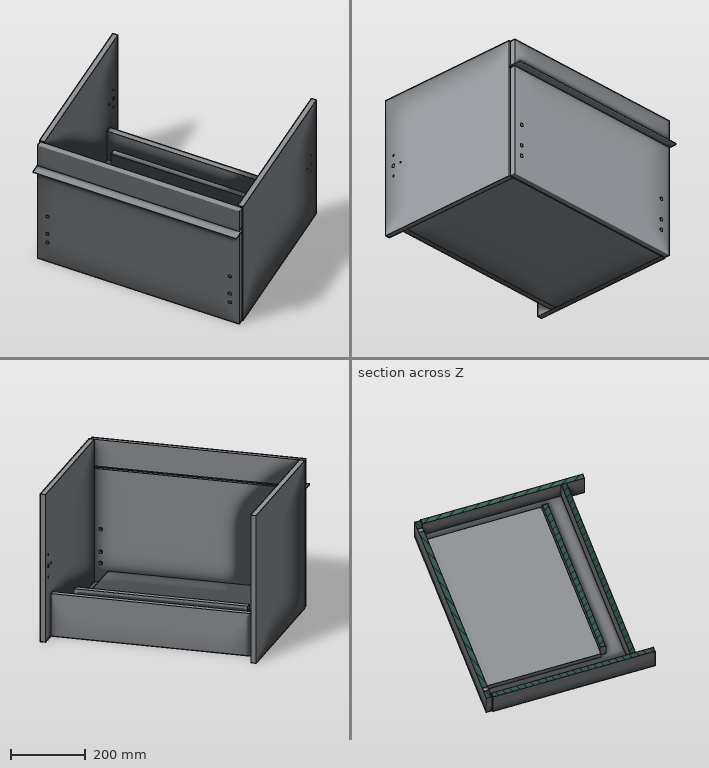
import cadquery as cq

CABINET_WIDTH = 603.0
CABINET_HEIGHT = 420.0
OVERALL_DEPTH = 499.5

SIDE_THICKNESS = 15.0
SIDE_DEPTH = 458.5
BOARD_THICKNESS = 16.0
REAR_RECESS = 50.5
REAR_PANEL_TOP = 121.0
INNER_WIDTH = CABINET_WIDTH - 2 * SIDE_THICKNESS

BRACKET_HOLE_DIAMETER = 10.0
SCREW_HOLE_DIAMETER = 5.0
BRACKET_HOLE_DEPTH = 12.0
BRACKET_FROM_REAR = 27.0
BRACKET_HEIGHT = 208.0
SCREW_SPACING = 32.0
SCREW_FORWARD_OFFSET = 26.0

FRONT_GAP = 2.5
FRONT_WIDTH = 598.0
FRONT_BOTTOM = 0.0
FRONT_TOP_DROP = 1.5
FRONT_TOP = CABINET_HEIGHT - FRONT_TOP_DROP
FRONT_EDGE_RADIUS = 1.0
FRONT_REAR = SIDE_DEPTH + FRONT_GAP
FRONT_FACE = FRONT_REAR + BOARD_THICKNESS
RAIL_BOTTOM = 336.0
RAIL_THICKNESS = 4.0
RAIL_TOP = RAIL_BOTTOM + RAIL_THICKNESS
RAIL_EDGE_RADIUS = 1.0
RAIL_CLEARANCE = 3.0

FIXING_HOLE_DIAMETER = 10.0
FIXING_HOLE_DEPTH = 14.0
FIXING_HOLE_X = 270.0
FIXING_HOLE_HEIGHTS = (68.5, 100.5, 164.5)

DRAWER_BACK_WIDTH = 484.0
DRAWER_BACK_REAR = 119.5
DRAWER_BACK_TOP = 115.5
DRAWER_UNDERSIDE = 32.0
DRAWER_BOTTOM_WIDTH = 498.0
DRAWER_BOTTOM_REAR = DRAWER_BACK_REAR + BOARD_THICKNESS


def board(x_min, x_max, rear, front, z_min, z_max):
    """A rectangular board; rear and front are distances forward of the rear edge."""
    size = (x_max - x_min, front - rear, z_max - z_min)
    return cq.Workplane("XY").box(*size, centered=False).translate((x_min, -front, z_min))


def centred_board(width, rear, front, z_min, z_max):
    """A board placed symmetrically about X = 0."""
    return board(-width / 2, width / 2, rear, front, z_min, z_max)


def drill(panel, diameter, depth, start, direction):
    """Cut a blind round hole from the point start along direction."""
    hole = cq.Solid.makeCylinder(diameter / 2, depth, start, direction)
    return panel.cut(cq.Workplane(hole))


def side_panel(side):
    """One side panel, side = -1 for left and +1 for right, with its bracket holes."""
    inner = side * INNER_WIDTH / 2
    outer = side * CABINET_WIDTH / 2
    panel = board(min(inner, outer), max(inner, outer), 0, SIDE_DEPTH, 0, CABINET_HEIGHT)
    holes = [
        (BRACKET_HOLE_DIAMETER, 0, 0),
        (SCREW_HOLE_DIAMETER, 0, SCREW_SPACING),
        (SCREW_HOLE_DIAMETER, 0, -SCREW_SPACING),
        (SCREW_HOLE_DIAMETER, SCREW_FORWARD_OFFSET, 0),
    ]
    for diameter, forward, up in holes:
        start = cq.Vector(inner, -BRACKET_FROM_REAR - forward, BRACKET_HEIGHT + up)
        panel = drill(panel, diameter, BRACKET_HOLE_DEPTH, start, cq.Vector(side, 0, 0))
    return panel


def front_panel(z_min, z_max):
    """A front board, rounded at its sides and along the top and bottom of its face."""
    panel = centred_board(FRONT_WIDTH, FRONT_REAR, FRONT_FACE, z_min, z_max)
    return panel.edges("(<Y and |X) or |Y").fillet(FRONT_EDGE_RADIUS)


def drilled_lower_front():
    """The drawer front below the rail, with its fixing holes."""
    panel = front_panel(FRONT_BOTTOM, RAIL_BOTTOM)
    for x in (-FIXING_HOLE_X, FIXING_HOLE_X):
        for z in FIXING_HOLE_HEIGHTS:
            start = cq.Vector(x, -FRONT_REAR, z)
            panel = drill(panel, FIXING_HOLE_DIAMETER, FIXING_HOLE_DEPTH, start, cq.Vector(0, -1, 0))
    return panel


def handle_rail():
    """The full-width rail between the two fronts, projecting as a finger grip."""
    rail = centred_board(CABINET_WIDTH, FRONT_REAR, OVERALL_DEPTH, RAIL_BOTTOM, RAIL_TOP)
    return rail.edges("<Y or |Y").fillet(RAIL_EDGE_RADIUS)


side_panels = [side_panel(side) for side in (-1, 1)]
rear_panel_front = REAR_RECESS + BOARD_THICKNESS
rear_panel = centred_board(INNER_WIDTH, REAR_RECESS, rear_panel_front, 0, REAR_PANEL_TOP)
floor = centred_board(INNER_WIDTH, rear_panel_front, SIDE_DEPTH, 0, BOARD_THICKNESS)
drawer_back = centred_board(
    DRAWER_BACK_WIDTH, DRAWER_BACK_REAR, DRAWER_BOTTOM_REAR, DRAWER_UNDERSIDE, DRAWER_BACK_TOP
)
drawer_bottom = centred_board(
    DRAWER_BOTTOM_WIDTH, DRAWER_BOTTOM_REAR, FRONT_REAR, DRAWER_UNDERSIDE, DRAWER_UNDERSIDE + BOARD_THICKNESS
)
upper_front = front_panel(RAIL_TOP + RAIL_CLEARANCE, FRONT_TOP)
lower_front = drilled_lower_front()
rail = handle_rail()

result = cq.Compound.makeCompound(
    [
        *[panel.val() for panel in side_panels],
        rear_panel.val(),
        floor.val(),
        drawer_back.val(),
        drawer_bottom.val(),
        upper_front.val(),
        lower_front.val(),
        rail.val(),
    ]
)